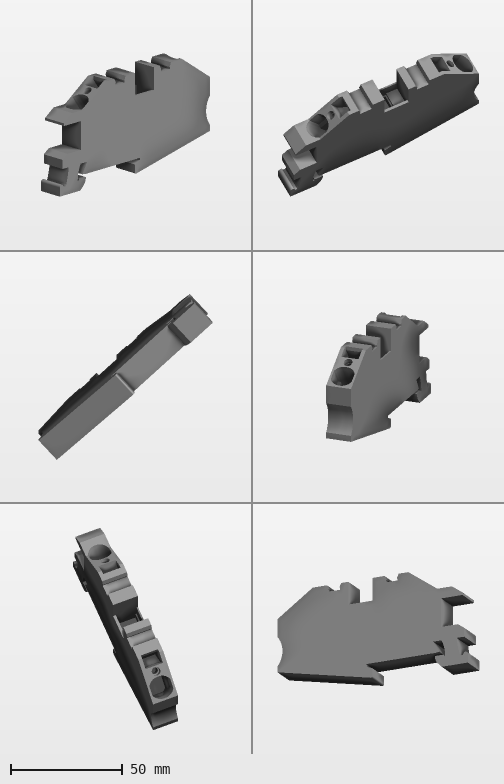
import cadquery as cq
import math

width = 12.0
length = 94.7
height = 47.6

slope_angle = 35.0
slope_tan = math.tan(math.radians(slope_angle))
roof_center = 53.4
roof_half_length = 23.8
front_corner = roof_center - roof_half_length
rear_corner = roof_center + roof_half_length

slot_half_length = width / 2
slot_floor = 36.8
pocket_right = 4.7
pocket_left = -5.3
pocket_depth = 4.7
deep_pocket_depth = 9.5
deep_pocket_length = 5.8
ledge_depth = 6.0
ledge_length = 6.4

groove_centers = (38.0, 66.6)
groove_floor = 44.5
groove_lip = 45.6
groove_half_top = 3.5
groove_half_lip = 2.65
groove_half_floor = 2.9

arm_top = 37.5
arm_bottom = 32.6
arm_tip = 2.65
arm_tip_top = 33.8
arm_flat_end = arm_tip + (arm_top - arm_tip_top) / slope_tan
recess_back = 13.3

shoulder_top = 19.0
shoulder_bottom = 12.6
shoulder_front = 1.8
shoulder_bevel_top = 4.9
shoulder_bevel_bottom = 16.9

leg_front_top = 5.6
leg_front_middle = (5.0, 8.7)
leg_front_bottom = (4.1, 4.9)
leg_rear_top = 13.1
leg_rear_middle = (11.7, 8.9)
foot_groove_floor = 4.0
foot_groove_rear = 3.5
foot_groove_front = 2.5
lip_inner_edge = (1.8, 5.2)
lip_crest = (0.6, 5.2)
lip_front_top = 4.3
foot_rear = 13.0
catch_heel = (15.15, 2.2)
catch_middle = (16.0, 3.6)
catch_tip = (16.5, 5.5)
catch_top = 5.7
catch_bevel = 0.3
notch_center = 11.7
notch_radius = 0.5
notch_center_height = 5.1

rail_seat = 7.1
gap_rear = 17.2
nose_tip = (14.2, 7.4)
nose_base = 15.9
hook_tip = 47.4
hook_undercut = 50.7
hook_undercut_height = 6.0
hook_tip_top = 4.6
hook_round_start = 0.8
hook_round_middle = (47.7, 0.4)
hook_round_end = (48.4, 0.3)

rear_bottom = 10.0
scoop_bottom = 12.9
scoop_top = 26.8
scoop_depth = 2.5

wire_center = 15.3
wire_radius = 5.1
wire_half_straight = 0.43
wire_bevel_start = 4.45
wire_half_width = 5.0
wire_half_flat = 2.3
wire_depth = 15.15
wire_ramp_start = 9.1
wire_ramp_end = 12.9
wire_ramp_rise = 0.5
wire_side_ramp_start = 8.2
wire_side_ramp_end = 10.4
wire_side_ramp_rise = 0.8
probe_center = 7.7
probe_radius = 2.0
probe_depth = 2.9
probe_bore_radius = 1.5
probe_bore_depth = 7.6
clamp_half_width = 4.2
clamp_lower_edge = 5.1
clamp_upper_edge = -0.3
clamp_depth = 6.0
clamp_back_depth = 8.3
clamp_bottom = 2.4
clamp_bottom_depth = 12.2
clamp_notch_length = 1.6
clamp_notch_depth = 2.0

cut_overshoot = 3.8


def extrude_across(outline):
    """Extrude a closed outline in Y and Z over the full width."""
    return outline.close().extrude(width / 2, both=True)


def box_between(x_min, x_max, y_min, y_max, z_min, z_max):
    size = (x_max - x_min, y_max - y_min, z_max - z_min)
    return cq.Workplane("XY").box(*size, centered=False).translate((x_min, y_min, z_min))


def make_body():
    """Side outline without the roof cutouts, starting at the top rear corner."""
    outline = (
        cq.Workplane("YZ")
        .moveTo(rear_corner, height)
        .lineTo(front_corner, height)
        .lineTo(front_corner - (height - arm_top) / slope_tan, arm_top)
        .lineTo(arm_flat_end, arm_top)
        .lineTo(arm_tip, arm_tip_top)
        .lineTo(arm_tip, arm_bottom)
        .lineTo(recess_back, arm_bottom)
        .lineTo(recess_back, shoulder_top)
        .lineTo(shoulder_bevel_top, shoulder_top)
        .lineTo(shoulder_front, shoulder_bevel_bottom)
        .lineTo(shoulder_front, shoulder_bottom)
        .lineTo(leg_front_top, shoulder_bottom)
        .threePointArc(leg_front_middle, leg_front_bottom)
        .lineTo(foot_groove_rear, foot_groove_floor)
        .lineTo(foot_groove_front, foot_groove_floor)
        .lineTo(*lip_inner_edge)
        .threePointArc(lip_crest, (0, lip_front_top))
        .lineTo(0, 0)
        .lineTo(foot_rear, 0)
        .lineTo(*catch_heel)
        .threePointArc(catch_middle, catch_tip)
        .lineTo(catch_tip[0] - catch_bevel, catch_top)
        .lineTo(notch_center + notch_radius, catch_top)
        .lineTo(notch_center + notch_radius, notch_center_height)
        .threePointArc(
            (notch_center, notch_center_height - notch_radius),
            (notch_center - notch_radius, notch_center_height),
        )
        .threePointArc(leg_rear_middle, (leg_rear_top, shoulder_bottom))
        .lineTo(gap_rear, shoulder_bottom)
        .lineTo(*nose_tip)
        .lineTo(nose_base, rail_seat)
        .lineTo(hook_undercut, rail_seat)
        .lineTo(hook_undercut, hook_undercut_height)
        .lineTo(hook_tip, hook_tip_top)
        .lineTo(hook_tip, hook_round_start)
        .threePointArc(hook_round_middle, hook_round_end)
        .lineTo(length, rear_bottom)
        .lineTo(length, scoop_bottom)
        .threePointArc(
            (length - scoop_depth, (scoop_bottom + scoop_top) / 2),
            (length, scoop_top),
        )
        .lineTo(length, height - (length - rear_corner) * slope_tan)
    )
    return extrude_across(outline)


def make_groove(center):
    """Marker groove that narrows to a lip above its floor."""
    half_profile = [
        (groove_half_top, height),
        (groove_half_lip, groove_lip),
        (groove_half_floor, groove_lip),
        (groove_half_floor, groove_floor),
    ]
    front_side = [(center - half, z) for half, z in half_profile]
    rear_side = [(center + half, z) for half, z in reversed(half_profile)]
    return extrude_across(cq.Workplane("YZ").polyline(front_side + rear_side))


def make_bridge_slot():
    """Open slot, then a shallow pocket, then a low ledge around a deeper front half."""
    front = roof_center - slot_half_length
    rear = roof_center + slot_half_length
    slot = box_between(-width / 2, width / 2, front, rear, slot_floor, height)
    pocket = box_between(
        pocket_left, pocket_right, front, rear, slot_floor - pocket_depth, slot_floor
    )
    ledge = box_between(
        pocket_left, pocket_right, front, front + ledge_length, slot_floor - ledge_depth, slot_floor
    )
    deep_pocket = box_between(
        -pocket_right, pocket_right, front, front + deep_pocket_length,
        slot_floor - deep_pocket_depth, slot_floor,
    )
    return slot.union(pocket).union(ledge).union(deep_pocket)


def ramp_outline(plane, wall, start, end, rise):
    """Open outline of a ramp that leaves a wall and narrows the hole down to its floor."""
    return (
        cq.Workplane(plane)
        .moveTo(wall, -start)
        .lineTo(wall - rise, -end)
        .lineTo(wall - rise, -wire_depth)
        .lineTo(wall, -wire_depth)
    )


def make_wire_entry():
    """Slightly stretched round hole with flat sides, narrowed by ramps near its floor."""
    bevel_y = math.sqrt(wire_radius**2 - (wire_bevel_start - wire_half_straight) ** 2)
    half_arc_angle = math.asin((wire_bevel_start - wire_half_straight) / wire_radius) / 2
    arc_middle_x = wire_half_straight + wire_radius * math.sin(half_arc_angle)
    arc_middle_y = wire_radius * math.cos(half_arc_angle)
    hole = (
        cq.Workplane("XY")
        .workplane(offset=-wire_depth)
        .center(0, wire_center)
        .moveTo(-wire_half_straight, wire_radius)
        .lineTo(wire_half_straight, wire_radius)
        .threePointArc((arc_middle_x, arc_middle_y), (wire_bevel_start, bevel_y))
        .lineTo(wire_half_width, wire_half_flat)
        .lineTo(wire_half_width, -wire_half_flat)
        .lineTo(wire_bevel_start, -bevel_y)
        .threePointArc((arc_middle_x, -arc_middle_y), (wire_half_straight, -wire_radius))
        .lineTo(-wire_half_straight, -wire_radius)
        .threePointArc((-arc_middle_x, -arc_middle_y), (-wire_bevel_start, -bevel_y))
        .lineTo(-wire_half_width, -wire_half_flat)
        .lineTo(-wire_half_width, wire_half_flat)
        .lineTo(-wire_bevel_start, bevel_y)
        .threePointArc((-arc_middle_x, arc_middle_y), (-wire_half_straight, wire_radius))
        .close()
        .extrude(wire_depth + cut_overshoot)
    )
    outer_ramp = extrude_across(
        ramp_outline("YZ", wire_center + wire_radius, wire_ramp_start, wire_ramp_end, wire_ramp_rise)
    )
    right_ramp = (
        ramp_outline(
            "XZ", wire_half_width, wire_side_ramp_start, wire_side_ramp_end, wire_side_ramp_rise
        )
        .close()
        .extrude(wire_radius, both=True)
        .translate((0, wire_center, 0))
    )
    left_ramp = right_ramp.mirror("YZ")
    return hole.cut(outer_ramp).cut(right_ramp).cut(left_ramp)


def make_probe_hole():
    """Counterbored test probe hole."""
    mouth = cq.Workplane("XY").center(0, probe_center)
    counterbore = mouth.circle(probe_radius).extrude(-probe_depth)
    bore = mouth.circle(probe_bore_radius).extrude(-probe_bore_depth)
    return counterbore.union(bore)


def make_clamp_slot():
    """Screwdriver slot square to the slope, with a bent back wall and a steep floor."""
    return (
        cq.Workplane("YZ")
        .moveTo(clamp_lower_edge, cut_overshoot)
        .lineTo(clamp_lower_edge, -clamp_depth)
        .lineTo(clamp_bottom, -clamp_bottom_depth)
        .lineTo(clamp_upper_edge, -clamp_back_depth)
        .lineTo(clamp_upper_edge, cut_overshoot)
        .close()
        .extrude(clamp_half_width, both=True)
    )


def make_terminal_openings():
    """Openings of the rear slope, placed on the body."""
    openings = make_wire_entry().union(make_probe_hole()).union(make_clamp_slot())
    openings = openings.rotate((0, 0, 0), (1, 0, 0), -slope_angle)
    openings = openings.translate((0, rear_corner, height))
    notch = box_between(
        -clamp_half_width, clamp_half_width,
        rear_corner - clamp_notch_length, rear_corner,
        height - clamp_notch_depth, height,
    )
    return openings.union(notch)


rear_openings = make_terminal_openings()
front_openings = rear_openings.mirror("XZ", (0, roof_center, 0))

result = make_body().cut(make_bridge_slot())
for groove_center in groove_centers:
    result = result.cut(make_groove(groove_center))
result = result.cut(rear_openings).cut(front_openings)